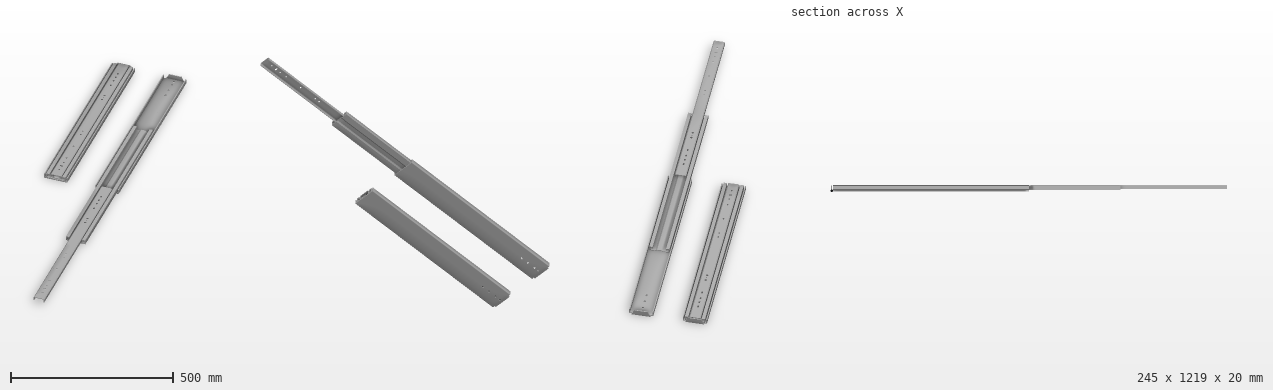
import cadquery as cq

overall_width = 245.0
overall_length = 1219.0
extended_reach = overall_length / 2
stop_tab_depth = 5.0
rail_length = extended_reach - stop_tab_depth
middle_travel = 282.0
inner_travel = extended_reach

sheet = 1.8

inner_width = 35.0
inner_half = inner_width / 2
inner_bottom = 7.0
inner_top = 20.0
corner_run = 3.0
corner_drop = 2.0

middle_half = 32.0
middle_bottom = 4.0
middle_top = 18.0
lip_width = 10.6
lip_bottom = 11.0
lip_sheet = 3.0
rib_foot_half = 11.6
rib_top_half = 6.7
rib_rise = 4.0

outer_sheet = 3.0
side_gap = 3.4
outer_half = middle_half + side_gap + outer_sheet
outer_height = 16.0
outer_bend = 2.0
tab_foot_half = 29.0
tab_top_half = 21.0
tab_height = 18.0

slide_offset = overall_width / 2 - outer_half

large_hole = 7.1
small_hole = 5.2
pilot_hole = 3.0
short_slot = 7.9
cross_slot = 10.4
along_rail = 90
across_rail = 0
outer_round_ys = (578.0, 549.0)
outer_slot_ys = (596.0, 522.0)
inner_large_ys = (435.0, 413.0)
inner_pilot_ys = (424.0,)
inner_small_ys = (240.0, 223.0, 158.0, 95.0, 70.0, 32.0)
inner_slot_ys = (555.0, 535.0, 517.0, 491.0)
inner_cross_slot_ys = (51.0,)


def mirrored_outline(right_half):
    """Closed X-Z outline from its right half, listed from the top centre line round to the bottom."""
    left_half = [(-x, z) for x, z in reversed(right_half)]
    return cq.Workplane("XZ").polyline(right_half + left_half).close()


def extrude_rail(outline):
    """Extrude an X-Z outline from the front end at y = 0 to the rear end."""
    return outline.extrude(-rail_length)


def on_centre_line(positions):
    return cq.Workplane("XY").pushPoints([(0, y) for y in positions])


def cut_holes(rail, positions, diameter):
    return rail.cut(on_centre_line(positions).circle(diameter / 2).extrude(inner_top))


def cut_slots(rail, positions, length, angle):
    return rail.cut(on_centre_line(positions).slot2D(length, small_hole, angle).extrude(inner_top))


def make_stop_tab():
    foot = (
        cq.Workplane("XY")
        .box(2 * tab_foot_half, stop_tab_depth, outer_sheet, centered=(True, False, False))
        .translate((0, rail_length, 0))
    )
    upright = (
        mirrored_outline([(tab_foot_half, 0), (tab_top_half, tab_height)])
        .extrude(-outer_sheet)
        .translate((0, rail_length + stop_tab_depth - outer_sheet, 0))
    )
    return foot.union(upright)


def make_outer_rail():
    wall_inside = outer_half - outer_sheet
    outline = mirrored_outline([
        (wall_inside, outer_sheet),
        (wall_inside, outer_height),
        (outer_half, outer_height),
        (outer_half, 0),
    ])
    rail = extrude_rail(outline).faces("<Z").edges("|Y").fillet(outer_bend)
    rail = rail.union(make_stop_tab())
    rail = cut_holes(rail, outer_round_ys, large_hole)
    return cut_slots(rail, outer_slot_ys, short_slot, along_rail)


def make_middle_rail():
    web_top = middle_bottom + sheet
    lip_edge = middle_half - lip_width
    outline = mirrored_outline([
        (rib_top_half, web_top + rib_rise),
        (rib_foot_half, web_top),
        (middle_half - lip_sheet, web_top),
        (middle_half - lip_sheet, middle_top - lip_sheet),
        (lip_edge + lip_sheet, middle_top - lip_sheet),
        (lip_edge + lip_sheet, lip_bottom),
        (lip_edge, lip_bottom),
        (lip_edge, middle_top),
        (middle_half, middle_top),
        (middle_half, middle_bottom),
        (rib_foot_half, middle_bottom),
        (rib_top_half, middle_bottom + rib_rise),
    ])
    return extrude_rail(outline)


def make_inner_rail():
    flange_inside = inner_half - sheet
    outline = mirrored_outline([
        (inner_half - corner_run, inner_top),
        (inner_half, inner_top - corner_drop),
        (inner_half, inner_bottom),
        (flange_inside, inner_bottom),
        (flange_inside, inner_top - corner_drop),
        (inner_half - corner_run, inner_top - sheet),
    ])
    rail = extrude_rail(outline)
    rail = cut_holes(rail, inner_large_ys, large_hole)
    rail = cut_holes(rail, inner_pilot_ys, pilot_hole)
    rail = cut_holes(rail, inner_small_ys, small_hole)
    rail = cut_slots(rail, inner_slot_ys, short_slot, along_rail)
    return cut_slots(rail, inner_cross_slot_ys, cross_slot, across_rail)


bodies = []
for slide_x, extension in ((-slide_offset, 0), (slide_offset, 1)):
    outer_rail = make_outer_rail().translate((slide_x, 0, 0))
    middle_rail = make_middle_rail().translate((slide_x, -middle_travel * extension, 0))
    inner_rail = make_inner_rail().translate((slide_x, -inner_travel * extension, 0))
    for rail in (outer_rail, middle_rail, inner_rail):
        bodies += rail.solids().vals()

result = cq.Compound.makeCompound(bodies)